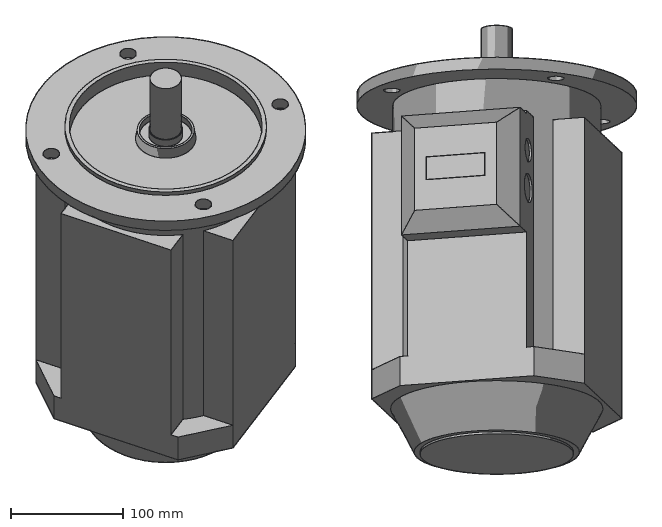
import cadquery as cq


SHAFT_DIA = 28.0
SHAFT_LENGTH = 60.0
COLLAR_DIA = 30.0
HUB_BASE_DIA = 54.0
HUB_TOP_DIA = 51.0
HUB_BORE_DIA = 47.0
HUB_TOP_Z = -1.0
HUB_FLOOR_Z = -7.5

FLANGE_DIA = 250.0
FLANGE_THICKNESS = 11.0
PILOT_DIA = 180.0
PILOT_HEIGHT = 4.0
RECESS_DIA = 172.0
RECESS_FLOOR_Z = -11.0
BOLT_CIRCLE_DIA = 215.0
BOLT_HOLE_DIA = 14.5
BOLT_COUNT = 4
FIRST_BOLT_ANGLE = 45.0

CORE_DIA = 186.0
BODY_WIDTH = 197.0
BODY_TOP_Z = -45.0
BODY_BOTTOM_Z = -291.0
PLATE_WIDTH_X = 110.0
PLATE_WIDTH_Y = 124.0
FOOT_TOP_Z = -264.0
FOOT_FLAT_WIDTH = 124.0

COVER_TOP_DIA = 189.6
COVER_BOTTOM_DIA = 147.5
COVER_BOTTOM_Z = -331.0
END_DISC_DIA = 137.0
END_DISC_THICKNESS = 2.0

BOX_SIZE = PLATE_WIDTH_X
BOX_CENTER_Z = -102.5
BOX_LID_Y = 119.0
BOX_OUTER_Y = 136.0
BOX_BEVEL_DEPTH = BOX_OUTER_Y - BOX_LID_Y
BOX_BEVEL_ANGLE = 45.0
LABEL_WIDTH = 54.0
LABEL_HEIGHT = 21.0
LABEL_THICKNESS = 1.0

ENTRY_Y = 92.0
ENTRY_DEPTH = 2.0
SMALL_ENTRY_DIA = 21.0
SMALL_ENTRY_Z = -80.0
LARGE_ENTRY_DIA = 26.0
LARGE_ENTRY_Z = -115.0


def disc(diameter, z_bottom, z_top):
    """Upright cylinder on the Z axis between two heights."""
    return cq.Workplane("XY").workplane(offset=z_bottom).circle(diameter / 2).extrude(z_top - z_bottom)


def block(width_x, width_y, z_bottom, z_top):
    """Box centred on the Z axis between two heights."""
    return cq.Workplane("XY").workplane(offset=z_bottom).rect(width_x, width_y).extrude(z_top - z_bottom)


def cone(bottom_dia, top_dia, z_bottom, z_top):
    """Truncated cone on the Z axis between two heights."""
    return (
        cq.Workplane("XY").workplane(offset=z_bottom).circle(bottom_dia / 2)
        .workplane(offset=z_top - z_bottom).circle(top_dia / 2)
        .loft(ruled=True)
    )


def make_flange():
    flange = disc(FLANGE_DIA, -FLANGE_THICKNESS, 0)
    flange = flange.union(disc(PILOT_DIA, -FLANGE_THICKNESS, PILOT_HEIGHT))
    holes = (
        cq.Workplane("XY").workplane(offset=-FLANGE_THICKNESS)
        .polarArray(BOLT_CIRCLE_DIA / 2, FIRST_BOLT_ANGLE, 360, BOLT_COUNT)
        .circle(BOLT_HOLE_DIA / 2).extrude(FLANGE_THICKNESS)
    )
    return flange.cut(holes)


def make_body():
    body = disc(CORE_DIA, BODY_BOTTOM_Z, -FLANGE_THICKNESS)
    body = body.union(block(PLATE_WIDTH_X, BODY_WIDTH, BODY_BOTTOM_Z, BODY_TOP_Z))
    body = body.union(block(BODY_WIDTH, PLATE_WIDTH_Y, BODY_BOTTOM_Z, BODY_TOP_Z))
    corner_chamfer = (BODY_WIDTH - FOOT_FLAT_WIDTH) / 2
    foot = block(BODY_WIDTH, BODY_WIDTH, BODY_BOTTOM_Z, FOOT_TOP_Z).edges("|Z").chamfer(corner_chamfer)
    return body.union(foot)


def make_fan_cover():
    cover = cone(COVER_BOTTOM_DIA, COVER_TOP_DIA, COVER_BOTTOM_Z, BODY_BOTTOM_Z)
    return cover.union(disc(END_DISC_DIA, COVER_BOTTOM_Z - END_DISC_THICKNESS, COVER_BOTTOM_Z))


def box_section(y_start, depth, width, height, taper=0):
    """Rectangular stretch of the terminal box, extruded towards +Y."""
    plane = cq.Plane(origin=(0, y_start, BOX_CENTER_Z), xDir=(1, 0, 0), normal=(0, 1, 0))
    return cq.Workplane(plane).rect(width, height).extrude(depth, taper=taper)


def make_terminal_box():
    plate_inner_y = PLATE_WIDTH_Y / 2
    box = box_section(plate_inner_y, BOX_LID_Y - plate_inner_y, BOX_SIZE, BOX_SIZE)
    box = box.union(box_section(BOX_LID_Y, BOX_BEVEL_DEPTH, BOX_SIZE, BOX_SIZE, BOX_BEVEL_ANGLE))
    return box.union(box_section(BOX_OUTER_Y, LABEL_THICKNESS, LABEL_WIDTH, LABEL_HEIGHT))


def make_cable_entry(diameter, z):
    side = cq.Plane(origin=(-BOX_SIZE / 2, ENTRY_Y, z), xDir=(0, 1, 0), normal=(1, 0, 0))
    return cq.Workplane(side).circle(diameter / 2).extrude(ENTRY_DEPTH)


def make_hub():
    hub = cone(HUB_BASE_DIA, HUB_TOP_DIA, RECESS_FLOOR_Z, HUB_TOP_Z)
    return hub.cut(disc(HUB_BORE_DIA, HUB_FLOOR_Z, HUB_TOP_Z))


def make_shaft():
    collar = disc(COLLAR_DIA, RECESS_FLOOR_Z, 0)
    return collar.union(disc(SHAFT_DIA, 0, SHAFT_LENGTH))


motor = make_flange().union(make_body())
motor = motor.cut(disc(RECESS_DIA, RECESS_FLOOR_Z, PILOT_HEIGHT))
motor = motor.union(make_fan_cover())
motor = motor.union(make_terminal_box())
motor = motor.cut(make_cable_entry(SMALL_ENTRY_DIA, SMALL_ENTRY_Z))
motor = motor.cut(make_cable_entry(LARGE_ENTRY_DIA, LARGE_ENTRY_Z))
motor = motor.union(make_hub())
motor = motor.union(make_shaft())

result = motor